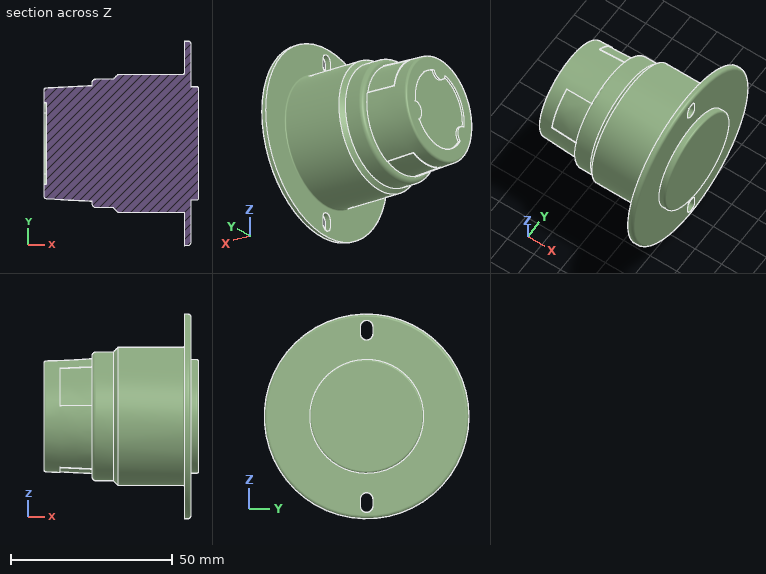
import cadquery as cq
import math


overall_length = 47.98
rear_boss_length = 2.35
flange_thickness = 2.05
collar_start = 14.85
collar_length = 6.7
flange_back = overall_length - rear_boss_length
flange_front = flange_back - flange_thickness
collar_end = collar_start + collar_length

nose_tip_radius = 17.2
nose_root_radius = 17.95
collar_radius = 20.0
body_radius = 21.45
flange_diameter = 63.5
flange_radius = flange_diameter / 2
rear_boss_radius = 17.65
body_chamfer = body_radius - collar_radius

nose_round = 0.75
collar_round = 1.4
flange_root_round = 0.4
flange_rim_round = 1.0
rear_boss_round = 0.65

slot_length = 6.0
slot_width = 3.8
slot_center_radius = 26.7

recess_radius = 12.7
recess_depth = 0.7
key_radius = 3.1
key_center_radius = 13.35
key_angles = (90, 200, 340)

pocket_start = 4.95
pocket_depth = 0.2
pocket_span = 48
pocket_angles = (35, 145, 270)


def nose_radius(x):
    """Radius of the nose cone at position x."""
    return nose_tip_radius + (nose_root_radius - nose_tip_radius) * x / collar_start


def revolve_about_x(points, degrees=360):
    """Turn a closed (x, radius) outline about the X axis."""
    return cq.Workplane("XY").polyline(points).close().revolve(degrees, (0, 0, 0), (1, 0, 0))


def nose_body():
    """Conical nose with a rounded front edge."""
    nose = revolve_about_x([
        (0, 0),
        (0, nose_tip_radius),
        (collar_start, nose_root_radius),
        (collar_start, 0),
    ])
    return nose.faces("<X").edges().fillet(nose_round)


def collar_and_body():
    """Rounded collar, chamfered step and main cylinder up to the flange."""
    housing = revolve_about_x([
        (collar_start, 0),
        (collar_start, collar_radius),
        (collar_end, collar_radius),
        (collar_end + body_chamfer, body_radius),
        (flange_front, body_radius),
        (flange_front, 0),
    ])
    return housing.faces("<X").edges().fillet(collar_round)


def disc(start, length, radius):
    """Cylinder on the X axis, running in +X from start."""
    return cq.Workplane("YZ", origin=(start, 0, 0)).circle(radius).extrude(length)


def flange():
    """Mounting flange with a rounded rear rim and two radial slots."""
    slots = (
        cq.Workplane("YZ", origin=(flange_front, 0, 0))
        .pushPoints([(0, slot_center_radius), (0, -slot_center_radius)])
        .slot2D(slot_length, slot_width, 90)
        .extrude(flange_thickness)
    )
    plate = disc(flange_front, flange_thickness, flange_radius)
    return plate.faces(">X").edges().fillet(flange_rim_round).cut(slots)


def flange_root_fillet():
    """Concave ring blending the main cylinder into the flange."""
    blend_start = flange_front - flange_root_round
    outer_radius = body_radius + flange_root_round
    arc_offset = flange_root_round * math.sqrt(0.5)
    outline = (
        cq.Workplane("XY")
        .moveTo(blend_start, body_radius)
        .threePointArc(
            (blend_start + arc_offset, outer_radius - arc_offset),
            (flange_front, outer_radius),
        )
        .lineTo(flange_front, 0)
        .lineTo(blend_start, 0)
        .close()
    )
    return outline.revolve(360, (0, 0, 0), (1, 0, 0))


def rear_boss():
    """Short rear boss with a rounded back edge."""
    boss = disc(flange_back, rear_boss_length, rear_boss_radius)
    return boss.faces(">X").edges().fillet(rear_boss_round)


def keyed_recess():
    """Round recess in the nose face, less its three key notches."""
    recess = disc(0, recess_depth, recess_radius)
    for angle in key_angles:
        key_y = key_center_radius * math.cos(math.radians(angle))
        key_z = key_center_radius * math.sin(math.radians(angle))
        recess = recess.cut(disc(0, recess_depth, key_radius).translate((0, key_y, key_z)))
    return recess


def nose_pocket(center_angle):
    """Cutter for one pocket whose floor runs parallel to the nose cone."""
    sector = revolve_about_x([
        (pocket_start, nose_radius(pocket_start) - pocket_depth),
        (collar_start, nose_root_radius - pocket_depth),
        (collar_start, collar_radius),
        (pocket_start, collar_radius),
    ], pocket_span)
    first_edge_angle = center_angle - pocket_span / 2
    return sector.rotate((0, 0, 0), (1, 0, 0), first_edge_angle)


nose = nose_body().cut(keyed_recess())
for angle in pocket_angles:
    nose = nose.cut(nose_pocket(angle))

result = (
    nose.union(collar_and_body())
    .union(flange())
    .union(flange_root_fillet())
    .union(rear_boss())
)